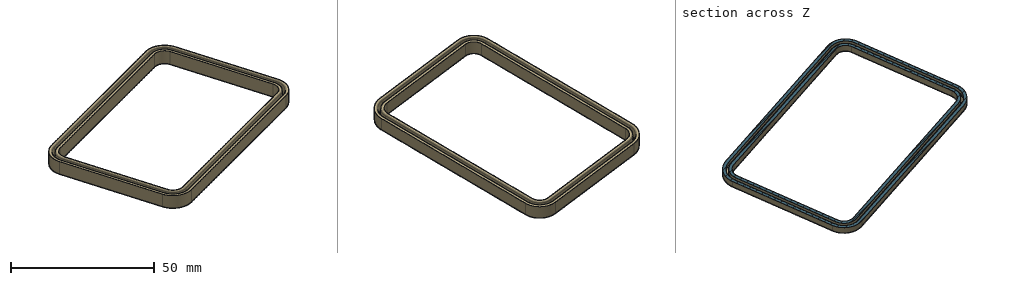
import cadquery as cq
import math

length_y = 82.0
width_x = 56.0
height = 5.5
corner_radius = 7.5

opening_width_x = 49.0
wall = (width_x - opening_width_x) / 2
bottom_rounding = 0.3

groove_middle = wall / 2
groove_depth = 4.0
floor_width = 0.7
side_draft = 3.0
mouth_rounding = 0.25
top_width = floor_width + 2 * groove_depth * math.tan(math.radians(side_draft))


def rounded_outline(inset, z):
    """Outer outline moved inward by inset, as the bottom wire of a slab standing at height z."""
    slab = (
        cq.Workplane(origin=(0, 0, z))
        .rect(width_x - 2 * inset, length_y - 2 * inset)
        .extrude(height)
        .edges("|Z")
        .fillet(corner_radius - inset)
    )
    return slab.faces("<Z").wires().val()


def tapered_block(lower_inset, lower_z, upper_inset, upper_z):
    """Solid between two concentric outlines at different heights."""
    outlines = [rounded_outline(lower_inset, lower_z), rounded_outline(upper_inset, upper_z)]
    return cq.Workplane(obj=cq.Solid.makeLoft(outlines, ruled=True))


def frame_body():
    """Plain ring with its bottom outer edge rounded."""
    body = tapered_block(0, 0, 0, height).faces("<Z").edges().fillet(bottom_rounding)
    return body.cut(tapered_block(wall, 0, wall, height))


def groove():
    """Ring with a trapezoidal section, narrower at the groove floor."""
    floor_z = height - groove_depth
    floor_half = floor_width / 2
    top_half = top_width / 2
    outside = tapered_block(groove_middle - floor_half, floor_z, groove_middle - top_half, height)
    island = tapered_block(groove_middle + floor_half, floor_z, groove_middle + top_half, height)
    return outside.cut(island)


def round_groove_mouth(frame):
    """Round the two top edges of the groove, leaving the outermost and innermost edges sharp."""
    top_loops = sorted(frame.faces(">Z").wires().vals(), key=lambda loop: loop.Length())
    mouth_edges = [edge for loop in top_loops[1:-1] for edge in loop.Edges()]
    return frame.newObject(mouth_edges).fillet(mouth_rounding)


result = round_groove_mouth(frame_body().cut(groove()))